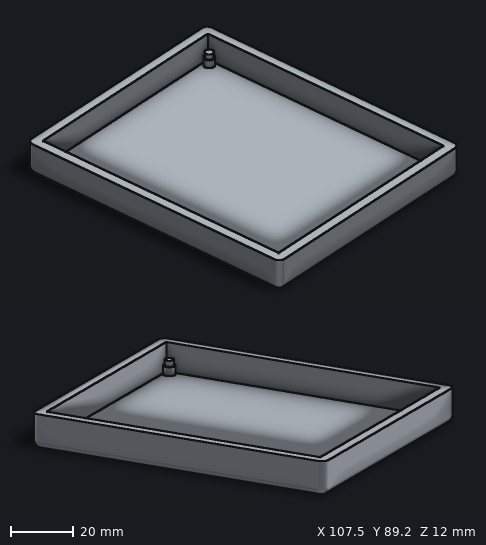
import cadquery as cq

length = 107.5
width = 89.25
height = 12.0
edge_radius = 2.5

wall = 3.75
floor_thickness = 2.0
pocket_length = length - 2 * wall
pocket_width = width - 2 * wall

pin_diameter = 3.0
shoulder_height = 3.0
pin_height = 2.0
rear_left_shoulder_diameter = 3.84
front_right_shoulder_diameter = 3.95

rear_left_inset_x = 2.35
front_right_inset_x = 2.2
peg_inset_y = 2.05


def make_tray():
    """Box with rounded upright and bottom edges, hollowed from the top."""
    body = (
        cq.Workplane("XY")
        .box(length, width, height, centered=(True, True, False))
        .edges("|Z or <Z")
        .fillet(edge_radius)
    )
    pocket = (
        cq.Workplane("XY")
        .workplane(offset=floor_thickness)
        .rect(pocket_length, pocket_width)
        .extrude(height - floor_thickness)
    )
    return body.cut(pocket)


def make_peg(x, y, shoulder_diameter):
    """Stepped peg standing on the pocket floor."""
    return (
        cq.Workplane("XY", origin=(x, y, floor_thickness))
        .circle(shoulder_diameter / 2)
        .extrude(shoulder_height)
        .faces(">Z")
        .workplane()
        .circle(pin_diameter / 2)
        .extrude(pin_height)
    )


rear_left_x = -(pocket_length / 2 - rear_left_inset_x)
front_right_x = pocket_length / 2 - front_right_inset_x
peg_y = pocket_width / 2 - peg_inset_y

rear_left_peg = make_peg(rear_left_x, peg_y, rear_left_shoulder_diameter)
front_right_peg = make_peg(front_right_x, -peg_y, front_right_shoulder_diameter)

result = make_tray().union(rear_left_peg).union(front_right_peg)